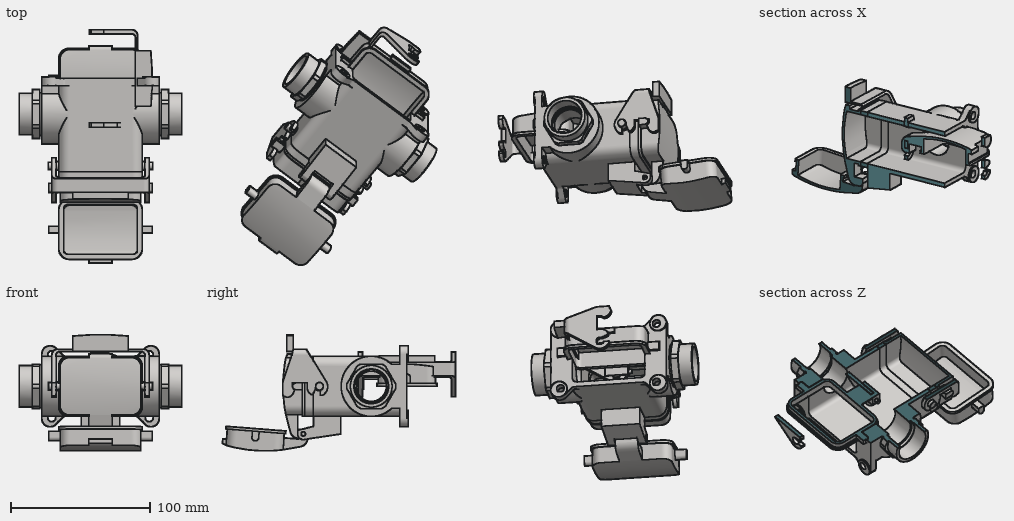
import cadquery as cq
import math

DIAGONAL = math.sqrt(0.5)

HOUSING_WIDTH = 60.1
HOUSING_HEIGHT = 43.2
HOUSING_CORNER = 7.2
WALL = 3.5
HOUSING_LENGTH = 67.2
SEAL_LENGTH = 6.0
INNER_WIDTH = HOUSING_WIDTH - 2 * WALL
INNER_HEIGHT = HOUSING_HEIGHT - 2 * WALL
INNER_CORNER = HOUSING_CORNER - WALL
FRONT_FACE_Y = -(HOUSING_LENGTH + SEAL_LENGTH)

ENTRY_Y = -25.6
ENTRY_FACE_X = 42.2
ENTRY_BLOCK_HEIGHT = 31.7
GLAND_NECK_DIAMETER = 31.0
GLAND_NECK_LENGTH = 1.3
HEX_ACROSS_FLATS = 32.0
HEX_ROUNDED_DIAMETER = 35.3
HEX_LENGTH = 5.4
HEX_TURN = 30
SLEEVE_DIAMETER = 30.0
SLEEVE_END_X = 58.5
SLEEVE_BORE_DIAMETER = 25.0
SLEEVE_BORE_END_X = 46.2
SEAT_BORE_DIAMETER = 24.3
WALL_BORE_DIAMETER = 21.8

FLANGE_THICKNESS = 5.2
EAR_DIAMETER = 12.0
EAR_X = ENTRY_FACE_X - EAR_DIAMETER / 2
EAR_Z = 23.1
EAR_PAD_HEIGHT = 1.0
EAR_FOOT_FILLET = 2.3
EAR_SLOPE_ANGLE = 45
SCREW_HOLE_DIAMETER = 5.5
SCREW_HOLE_X = 35.0
SCREW_HOLE_Z = 22.6

PIVOT_Y = -62.8
PIVOT_PIN_DIAMETER = 5.5
PIVOT_PIN_END_X = 37.7
PIVOT_COLLAR_DIAMETER = 6.5
PIVOT_COLLAR_END_X = 31.7

RIM_HEIGHT = 2.0
RIM_CORNER = 7.7
RIM_OVERHANG = 1.0
CAP_WIDTH = HOUSING_WIDTH - 2 * RIM_OVERHANG
CAP_DEPTH = HOUSING_HEIGHT - 2 * RIM_OVERHANG
CAP_CORNER = RIM_CORNER - RIM_OVERHANG
DOME_HEIGHT = 15.9
DOME_EDGE_HEIGHT = 13.7
CAP_ROOF = 2.0
LUG_DIAMETER = 4.9
LUG_TIP_HEIGHT = 8.9
LUG_END_X = 37.2
TAB_WIDTH = 16.6
TAB_REACH = 23.3
TAB_BOTTOM = 9.2
TAB_TOP = 12.5
HINGE_ARM_WIDTH = TAB_WIDTH
HINGE_ARM_UNDERSIDE = 5.0
ARM_BEND_MIDDLE = (-36.0, 8.5)
ARM_BEND_TOP = (-32.3, 10.7)
HINGE_DROP = 34.2
HINGE_HEIGHT = 1.2
KNUCKLE_RADIUS = 3.4
HINGE_STUB_DIAMETER = 3.0
HINGE_STUB_LENGTH = 2.5
OPEN_ANGLE = 85.5

BRACKET_WIDTH = 28.0
BRACKET_REAR_Y = -47.4
BRACKET_REAR_Z = -34.3
BRACKET_STEP_Z = -28.6
BRACKET_EAR_TOP_Z = -31.7
BRACKET_EAR_RADIUS = 4.2
HINGE_HOLE_DIAMETER = 3.2
HINGE_Y = FRONT_FACE_Y - HINGE_HEIGHT
HINGE_Z = -HINGE_DROP

LATCH_WIDTH = 70.0
LATCH_ARM_THICKNESS = 3.2
LATCH_BAR_TOP = 26.6
LATCH_BAR_THICKNESS = 1.7
LATCH_OUTER_BEND = 4.2
LATCH_INNER_BEND = LATCH_OUTER_BEND - LATCH_BAR_THICKNESS
LATCH_REAR = 5.9
LATCH_FRONT = 26.5
LATCH_TOE = -8.0
NOTCH_FRONT = 19.5
HANDLE_WIDTH = 40.0
HANDLE_REAR = 18.8
HANDLE_FRONT = 23.6
HANDLE_TOP = 37.2
HANDLE_CORNER_TOP = 36.2
BAR_REAR_TOP = (-9.4, LATCH_BAR_TOP)
HOOK_HEEL = (4.7, 3.9)
HOOK_MIDDLE = (5.2, -3.4)
HOOK_BOTTOM = (2.2, -6.5)
HOOK_TIP = (0.7, -6.5)
PIN_SLOT_REAR = (0.7, -2.0)
PIN_SLOT_FRONT = (-2.5, -1.0)
TOOTH_REAR = (-4.0, -4.7)
TOOTH_MIDDLE = (-4.9, -5.7)
TOOTH_TIP = (-6.0, -5.9)
TOOTH_FLANK_MIDDLE = (-8.0, -3.7)
TOOTH_FRONT = (-8.9, -0.8)
NOTCH_TOP_REAR = (-8.9, LUG_DIAMETER / 2)
NOTCH_TOP_FRONT = (-NOTCH_FRONT, LUG_DIAMETER / 2)
NOTCH_LIP = (-NOTCH_FRONT, -0.5)
CATCH_TIP = (-18.1, -2.7)
TOE_MIDDLE = (-19.6, -6.2)
TOE_BOTTOM = (-23.1, LATCH_TOE)
TOE_FRONT = (-LATCH_FRONT, -6.7)
ARM_FRONT = (-LATCH_FRONT, 2.5)
ARM_FRONT_TOP = (-19.8, 22.8)
BAR_FRONT_TOP = (-HANDLE_REAR, LATCH_BAR_TOP)
SPARE_LATCH_Z = -1.7


def box(x_range, y_range, z_range):
    """Box between two limits on each axis."""
    (x0, x1), (y0, y1), (z0, z1) = x_range, y_range, z_range
    return cq.Workplane("XY").box(x1 - x0, y1 - y0, z1 - z0, centered=False).translate((x0, y0, z0))


def rod(diameter, start_x, end_x, y, z):
    """Cylinder along X."""
    plane = cq.Workplane("YZ", origin=(start_x, y, z))
    return plane.circle(diameter / 2).extrude(end_x - start_x)


def rounded_bar(width, height, corner, rear_y, length):
    """Rounded-rectangle bar running from rear_y towards -Y."""
    plane = cq.Workplane("XZ", origin=(0, rear_y, 0))
    return plane.rect(width, height).extrude(length).edges("|Y").fillet(corner)


def housing_outside(rear_y, length):
    return rounded_bar(HOUSING_WIDTH, HOUSING_HEIGHT, HOUSING_CORNER, rear_y, length)


def housing_cavity(rear_y, length):
    return rounded_bar(INNER_WIDTH, INNER_HEIGHT, INNER_CORNER, rear_y, length)


def flange_ear(side, level):
    """Screw ear in one corner of the flange, with its raised pad and a filleted 45 degree inner flank."""
    diagonal = EAR_DIAMETER / 2 * DIAGONAL
    slope_top_x = EAR_X - diagonal
    slope_top_z = EAR_Z + diagonal
    foot_z = HOUSING_HEIGHT / 2
    foot_x = slope_top_x - (slope_top_z - foot_z)
    half_bend = math.radians(EAR_SLOPE_ANGLE / 2)
    tangent = EAR_FOOT_FILLET * math.tan(half_bend)
    fillet_x = foot_x - tangent
    fillet_top = tangent * DIAGONAL
    bend_x = fillet_x + EAR_FOOT_FILLET * math.sin(half_bend)
    bend_z = foot_z + EAR_FOOT_FILLET * (1 - math.cos(half_bend))
    plate = (
        cq.Workplane("XZ")
        .moveTo(side * fillet_x, 0)
        .lineTo(side * fillet_x, level * foot_z)
        .threePointArc(
            (side * bend_x, level * bend_z),
            (side * (foot_x + fillet_top), level * (foot_z + fillet_top)),
        )
        .lineTo(side * slope_top_x, level * slope_top_z)
        .lineTo(side * EAR_X, level * EAR_Z)
        .lineTo(side * ENTRY_FACE_X, level * EAR_Z)
        .lineTo(side * ENTRY_FACE_X, 0)
        .close()
        .extrude(FLANGE_THICKNESS)
    )
    pad = (
        cq.Workplane("XZ", origin=(0, EAR_PAD_HEIGHT, 0))
        .center(side * EAR_X, level * EAR_Z)
        .circle(EAR_DIAMETER / 2)
        .extrude(FLANGE_THICKNESS + EAR_PAD_HEIGHT)
    )
    return plate.union(pad)


def screw_holes():
    return (
        cq.Workplane("XZ", origin=(0, EAR_PAD_HEIGHT, 0))
        .rect(2 * SCREW_HOLE_X, 2 * SCREW_HOLE_Z, forConstruction=True)
        .vertices()
        .circle(SCREW_HOLE_DIAMETER / 2)
        .extrude(FLANGE_THICKNESS + EAR_PAD_HEIGHT)
    )


def cable_entry(side):
    """Neck, hexagon and clamping sleeve of one cable entry."""
    hex_start = ENTRY_FACE_X + GLAND_NECK_LENGTH
    hex_end = hex_start + HEX_LENGTH
    neck = rod(GLAND_NECK_DIAMETER, side * ENTRY_FACE_X, side * hex_start, ENTRY_Y, 0)
    hexagon = (
        cq.Workplane("YZ", origin=(side * hex_start, 0, 0))
        .center(ENTRY_Y, 0)
        .polygon(6, HEX_ACROSS_FLATS, circumscribed=True)
        .extrude(side * HEX_LENGTH)
        .rotate((0, ENTRY_Y, 0), (1, ENTRY_Y, 0), HEX_TURN)
        .intersect(rod(HEX_ROUNDED_DIAMETER, side * hex_start, side * hex_end, ENTRY_Y, 0))
    )
    sleeve = rod(SLEEVE_DIAMETER, side * hex_end, side * SLEEVE_END_X, ENTRY_Y, 0)
    return neck.union(hexagon).union(sleeve)


def entry_bore(side):
    """Stepped bore from the sleeve end into the housing cavity."""
    seat_x = ENTRY_FACE_X + GLAND_NECK_LENGTH
    sleeve_bore = rod(SLEEVE_BORE_DIAMETER, side * SLEEVE_BORE_END_X, side * SLEEVE_END_X, ENTRY_Y, 0)
    seat_bore = rod(SEAT_BORE_DIAMETER, side * seat_x, side * SLEEVE_BORE_END_X, ENTRY_Y, 0)
    wall_bore = rod(WALL_BORE_DIAMETER, 0, side * seat_x, ENTRY_Y, 0)
    return sleeve_bore.union(seat_bore).union(wall_bore)


def pivot_pin(side):
    """Latch pivot with its collar on one side wall."""
    wall_x = INNER_WIDTH / 2
    collar = rod(PIVOT_COLLAR_DIAMETER, side * wall_x, side * PIVOT_COLLAR_END_X, PIVOT_Y, 0)
    pin = rod(PIVOT_PIN_DIAMETER, side * wall_x, side * PIVOT_PIN_END_X, PIVOT_Y, 0)
    return collar.union(pin)


def hinge_bracket():
    """Tapered block under the housing, ending in two ears that carry the cap hinge."""
    bottom_z = HINGE_Z - BRACKET_EAR_RADIUS
    block = (
        cq.Workplane("YZ", origin=(-BRACKET_WIDTH / 2, 0, 0))
        .moveTo(BRACKET_REAR_Y, -INNER_HEIGHT / 2)
        .lineTo(BRACKET_REAR_Y, BRACKET_REAR_Z)
        .lineTo(HINGE_Y, bottom_z)
        .threePointArc(
            (HINGE_Y - BRACKET_EAR_RADIUS * DIAGONAL, HINGE_Z - BRACKET_EAR_RADIUS * DIAGONAL),
            (HINGE_Y - BRACKET_EAR_RADIUS, HINGE_Z),
        )
        .lineTo(HINGE_Y - BRACKET_EAR_RADIUS, BRACKET_EAR_TOP_Z)
        .lineTo(-HOUSING_LENGTH, BRACKET_STEP_Z)
        .lineTo(-HOUSING_LENGTH, -INNER_HEIGHT / 2)
        .close()
        .extrude(BRACKET_WIDTH)
    )
    half_gap = HINGE_ARM_WIDTH / 2
    gap = box(
        (-half_gap, half_gap),
        (HINGE_Y - BRACKET_EAR_RADIUS, -HOUSING_LENGTH),
        (bottom_z, BRACKET_STEP_Z),
    )
    hole = rod(HINGE_HOLE_DIAMETER, -BRACKET_WIDTH / 2, BRACKET_WIDTH / 2, HINGE_Y, HINGE_Z)
    return block.cut(gap).cut(hole)


def make_housing():
    body = housing_outside(0, HOUSING_LENGTH)
    body = body.union(rod(HOUSING_HEIGHT, -ENTRY_FACE_X, ENTRY_FACE_X, ENTRY_Y, 0))
    full_width = (-ENTRY_FACE_X, ENTRY_FACE_X)
    half_block = ENTRY_BLOCK_HEIGHT / 2
    half_height = HOUSING_HEIGHT / 2
    body = body.union(box(full_width, (ENTRY_Y, 0), (-half_block, half_block)))
    body = body.union(box(full_width, (-FLANGE_THICKNESS, 0), (-half_height, half_height)))
    for side in (-1, 1):
        for level in (-1, 1):
            body = body.union(flange_ear(side, level))
        body = body.union(cable_entry(side))
        body = body.union(pivot_pin(side))
    body = body.union(hinge_bracket())
    body = body.cut(housing_cavity(0, HOUSING_LENGTH)).cut(screw_holes())
    for side in (-1, 1):
        body = body.cut(entry_bore(side))
    return body


def dome_slab(width, depth, corner, edge_height, crown_height):
    """Rounded block from the rim plane up to a roof arched along Y."""
    half = depth / 2
    return (
        cq.Workplane("YZ", origin=(-width / 2, 0, 0))
        .moveTo(-half, 0)
        .lineTo(half, 0)
        .lineTo(half, edge_height)
        .threePointArc((0, crown_height), (-half, edge_height))
        .close()
        .extrude(width)
        .edges("|Z")
        .fillet(corner)
    )


def cap_lugs():
    """Two latch lugs, round at the end away from the rim."""
    radius = LUG_DIAMETER / 2
    centre_z = LUG_TIP_HEIGHT - radius
    stem = box((-LUG_END_X, LUG_END_X), (-radius, radius), (RIM_HEIGHT, centre_z))
    return stem.union(rod(LUG_DIAMETER, -LUG_END_X, LUG_END_X, 0, centre_z))


def catch_tab():
    root_y = CAP_DEPTH / 2
    return (
        cq.Workplane("YZ", origin=(-TAB_WIDTH / 2, 0, 0))
        .moveTo(root_y - WALL / 2, TAB_BOTTOM)
        .lineTo(TAB_REACH, TAB_BOTTOM)
        .lineTo(TAB_REACH, TAB_TOP)
        .lineTo(root_y, DOME_EDGE_HEIGHT)
        .lineTo(root_y - WALL / 2, DOME_EDGE_HEIGHT)
        .close()
        .extrude(TAB_WIDTH)
    )


def hinge_arm():
    """Arm that continues the dome and ends in a knuckle with a hinge stub on each side."""
    root_y = -CAP_DEPTH / 2
    knuckle_front_y = -HINGE_DROP + KNUCKLE_RADIUS
    knuckle_tip_y = -HINGE_DROP - KNUCKLE_RADIUS
    knuckle_base_z = HINGE_HEIGHT - KNUCKLE_RADIUS
    diagonal = KNUCKLE_RADIUS * DIAGONAL
    arm = (
        cq.Workplane("YZ", origin=(-HINGE_ARM_WIDTH / 2, 0, 0))
        .moveTo(root_y + WALL / 2, HINGE_ARM_UNDERSIDE)
        .lineTo(knuckle_front_y, HINGE_ARM_UNDERSIDE)
        .lineTo(knuckle_front_y, knuckle_base_z)
        .lineTo(-HINGE_DROP, knuckle_base_z)
        .threePointArc((-HINGE_DROP - diagonal, HINGE_HEIGHT - diagonal), (knuckle_tip_y, HINGE_HEIGHT))
        .lineTo(knuckle_tip_y, HINGE_ARM_UNDERSIDE)
        .threePointArc(ARM_BEND_MIDDLE, ARM_BEND_TOP)
        .lineTo(root_y, DOME_EDGE_HEIGHT)
        .lineTo(root_y + WALL / 2, DOME_EDGE_HEIGHT)
        .close()
        .extrude(HINGE_ARM_WIDTH)
    )
    stub_end_x = HINGE_ARM_WIDTH / 2 + HINGE_STUB_LENGTH
    return arm.union(rod(HINGE_STUB_DIAMETER, -stub_end_x, stub_end_x, -HINGE_DROP, HINGE_HEIGHT))


def make_cap():
    rim = (
        cq.Workplane("XY")
        .rect(HOUSING_WIDTH, HOUSING_HEIGHT)
        .extrude(RIM_HEIGHT)
        .edges("|Z")
        .fillet(RIM_CORNER)
    )
    shell = dome_slab(CAP_WIDTH, CAP_DEPTH, CAP_CORNER, DOME_EDGE_HEIGHT, DOME_HEIGHT)
    hollow = dome_slab(
        INNER_WIDTH, INNER_HEIGHT, INNER_CORNER, DOME_EDGE_HEIGHT - CAP_ROOF, DOME_HEIGHT - CAP_ROOF
    )
    outside = shell.union(rim).union(cap_lugs()).union(catch_tab()).union(hinge_arm())
    return outside.cut(hollow)


def latch_channel():
    """Bent strip: a bar across the top and an arm down each side."""
    depth = LATCH_REAR + LATCH_FRONT
    plane = cq.Workplane("XZ", origin=(0, LATCH_REAR, 0))
    inner_width = LATCH_WIDTH - 2 * LATCH_ARM_THICKNESS
    bar_bottom = LATCH_BAR_TOP - LATCH_BAR_THICKNESS
    outside = (
        plane.center(0, (LATCH_BAR_TOP + LATCH_TOE) / 2)
        .rect(LATCH_WIDTH, LATCH_BAR_TOP - LATCH_TOE)
        .extrude(depth)
        .edges("|Y and >Z")
        .fillet(LATCH_OUTER_BEND)
    )
    inside = (
        plane.center(0, (bar_bottom + LATCH_TOE) / 2)
        .rect(inner_width, bar_bottom - LATCH_TOE)
        .extrude(depth)
        .edges("|Y and >Z")
        .fillet(LATCH_INNER_BEND)
    )
    return outside.cut(inside)


def latch_profile():
    """Side outline of the arms: pivot hook, locking tooth, lug notch and toe."""
    return (
        cq.Workplane("YZ", origin=(-LATCH_WIDTH / 2, 0, 0))
        .moveTo(*BAR_REAR_TOP)
        .lineTo(*HOOK_HEEL)
        .threePointArc(HOOK_MIDDLE, HOOK_BOTTOM)
        .lineTo(*HOOK_TIP)
        .lineTo(*PIN_SLOT_REAR)
        .lineTo(*PIN_SLOT_FRONT)
        .lineTo(*TOOTH_REAR)
        .threePointArc(TOOTH_MIDDLE, TOOTH_TIP)
        .threePointArc(TOOTH_FLANK_MIDDLE, TOOTH_FRONT)
        .lineTo(*NOTCH_TOP_REAR)
        .lineTo(*NOTCH_TOP_FRONT)
        .lineTo(*NOTCH_LIP)
        .lineTo(*CATCH_TIP)
        .threePointArc(TOE_MIDDLE, TOE_BOTTOM)
        .lineTo(*TOE_FRONT)
        .lineTo(*ARM_FRONT)
        .lineTo(*ARM_FRONT_TOP)
        .lineTo(*BAR_FRONT_TOP)
        .close()
        .extrude(LATCH_WIDTH)
    )


def latch_handle():
    """Upright grip with a slightly crowned top."""
    half = HANDLE_WIDTH / 2
    bottom = LATCH_BAR_TOP - LATCH_BAR_THICKNESS
    return (
        cq.Workplane("XZ", origin=(0, -HANDLE_REAR, 0))
        .moveTo(-half, bottom)
        .lineTo(-half, HANDLE_CORNER_TOP)
        .threePointArc((0, HANDLE_TOP), (half, HANDLE_CORNER_TOP))
        .lineTo(half, bottom)
        .close()
        .extrude(HANDLE_FRONT - HANDLE_REAR)
    )


def make_latch():
    pivot_hole = rod(PIVOT_PIN_DIAMETER, -LATCH_WIDTH / 2, LATCH_WIDTH / 2, 0, 0)
    return latch_channel().intersect(latch_profile()).cut(pivot_hole).union(latch_handle())


seal = housing_outside(-HOUSING_LENGTH, SEAL_LENGTH).cut(housing_cavity(-HOUSING_LENGTH, SEAL_LENGTH))

front_latch = make_latch().translate((0, PIVOT_Y, 0))
spare_latch_plane = cq.Plane(origin=(0, 0, SPARE_LATCH_Z), xDir=(0, -1, 0), normal=(1, 0, 0))
spare_latch = cq.Workplane(make_latch().val().moved(cq.Location(spare_latch_plane)))

closed_plane = cq.Plane(origin=(0, FRONT_FACE_Y, 0), xDir=(1, 0, 0), normal=(0, -1, 0))
closed_cap = cq.Workplane(make_cap().val().moved(cq.Location(closed_plane)))
swung_cap = closed_cap.rotate((0, HINGE_Y, HINGE_Z), (1, HINGE_Y, HINGE_Z), OPEN_ANGLE)
open_cap = swung_cap.cut(closed_cap).solids("<Y")

spare_cap = make_cap().cut(spare_latch)

housing = make_housing().cut(spare_latch).cut(spare_cap)

bodies = (housing, seal, front_latch, spare_latch, closed_cap, open_cap, spare_cap)
result = cq.Compound.makeCompound([body.solids().val() for body in bodies])